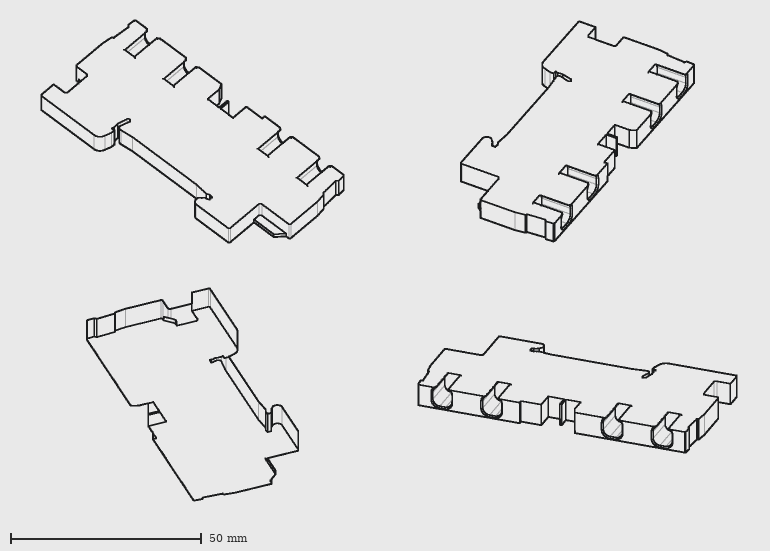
import cadquery as cq
import math

LENGTH = 77.0
WIDTH = 35.2
THICKNESS = 6.1

SHOULDER_Y = 13.4
RAIL_Y = 6.4
FOOT_TOP_Y = 5.0
RIGHT_FOOT_Y = 1.55
OPENING_FLOOR_Y = 29.1
STEP_Y = 34.2

NECK_LEFT_X = 4.5
NECK_RIGHT_X = 66.4
OPENING_LEFT_X = 32.7
OPENING_RIGHT_X = 41.8
STEP_END_X = 47.5
BEVEL_X = 0.8
BEVEL_Y = 1.8

CORNER_RADIUS = 0.4
NOTCH_RADIUS = 0.6

END_PROFILE = [
    (0.0, 23.9),
    (0.4, 26.8),
    (0.6, 27.0),
    (0.85, 27.0),
    (1.2, 32.35),
    (0.7, 32.8),
    (0.85, 34.95),
    (1.1, WIDTH),
]

PIN_X = 37.1
PIN_WIDTH = 0.55
PIN_TIP_Y = 32.2

HOLE_CENTER_X = 38.4
HOLE_OFFSETS = (-30.95, -16.95, 16.95, 30.95)
HOLE_DEPTH_Y = 9.1
HOLE_FLOOR_Z = 0.6
HOLE_FLAT = 1.7
HOLE_CORNER_RADIUS = 1.85
HOLE_SLIT_WIDTH = 3.4
MOUTH_LENGTH = 0.5
MOUTH_FLARE = 0.3

PLATE_THICKNESS = 1.2
TAB_Y = 11.0
TAB_OVERLAP = 0.8
LEFT_TAB_X = 1.1
RIGHT_TAB_X = 75.7
WEB_LEFT_X = 21.2
WEB_TOP_Y = 10.55
WEB_Y = 8.6


def body():
    """The whole outline, drawn clockwise from the left shoulder."""
    right_end = [(LENGTH - inset, y) for inset, y in reversed(END_PROFILE)]
    outline = cq.Workplane("XY").moveTo(0, SHOULDER_Y)
    for x, y in END_PROFILE:
        outline = outline.lineTo(x, y)
    outline = (
        outline
        .lineTo(OPENING_LEFT_X - BEVEL_X, WIDTH)
        .lineTo(OPENING_LEFT_X, WIDTH - BEVEL_Y)
        .lineTo(OPENING_LEFT_X, OPENING_FLOOR_Y)
        .lineTo(OPENING_RIGHT_X, OPENING_FLOOR_Y)
        .lineTo(OPENING_RIGHT_X, STEP_Y)
        .lineTo(STEP_END_X, STEP_Y)
        .lineTo(STEP_END_X, WIDTH)
    )
    for x, y in right_end:
        outline = outline.lineTo(x, y)
    outline = (
        outline
        .lineTo(LENGTH, SHOULDER_Y)
        .lineTo(NECK_RIGHT_X, SHOULDER_Y)
        .lineTo(NECK_RIGHT_X, RIGHT_FOOT_Y)
        .lineTo(54.4, RIGHT_FOOT_Y)
        .threePointArc((53.3, 2.8), (54.05, 4.15))
        .threePointArc((54.7, 4.7), (55.4, 4.85))
        .lineTo(55.9, 5.1)
        .lineTo(55.9, 6.15)
        .lineTo(54.8, 6.3)
        .lineTo(54.05, 5.9)
        .lineTo(50.05, RAIL_Y)
        .lineTo(27.0, RAIL_Y)
        .lineTo(23.1, 6.0)
        .threePointArc((22.4, 6.2), (22.25, 7.1))
        .lineTo(22.95, 9.5)
        .threePointArc((22.5, 10.2), (21.9, 9.6))
        .lineTo(21.2, 6.9)
        .lineTo(21.3, 5.55)
        .lineTo(21.1, 4.8)
        .lineTo(22.1, 4.8)
        .lineTo(22.0, 3.55)
        .lineTo(21.4, 1.7)
        .threePointArc((20.55, 0.5), (19.1, 0))
        .lineTo(0, 0)
        .lineTo(0, FOOT_TOP_Y)
        .lineTo(NECK_LEFT_X, FOOT_TOP_Y)
        .lineTo(NECK_LEFT_X, SHOULDER_Y)
        .close()
    )
    return outline.extrude(THICKNESS)


def round_edges(part, places, radius):
    """Round the upright edges that stand at the given (x, y) places."""
    reach = 0.04
    for x, y in places:
        corner = cq.selectors.BoxSelector(
            (x - reach, y - reach, 0),
            (x + reach, y + reach, THICKNESS),
        )
        part = part.edges(corner).fillet(radius)
    return part


def wire_hole(center_x):
    """A rounded tunnel whose crown breaks out through the upper face, with a flared mouth."""
    width = HOLE_FLAT + 2 * HOLE_CORNER_RADIUS
    run = (HOLE_SLIT_WIDTH - HOLE_FLAT) / 2
    crown_rise = HOLE_CORNER_RADIUS - math.sqrt(HOLE_CORNER_RADIUS**2 - run**2)
    top_z = THICKNESS + crown_rise
    height = top_z - HOLE_FLOOR_Z
    center_z = (top_z + HOLE_FLOOR_Z) / 2

    def section(y, grow):
        return (
            cq.Workplane("XZ", origin=(center_x, y, center_z))
            .sketch()
            .rect(width + 2 * grow, height + 2 * grow)
            .vertices()
            .fillet(HOLE_CORNER_RADIUS + grow)
            .finalize()
        )

    hole = section(WIDTH, 0).extrude(HOLE_DEPTH_Y)
    slope = math.degrees(math.atan(MOUTH_FLARE / MOUTH_LENGTH))
    mouth = section(WIDTH, MOUTH_FLARE).extrude(MOUTH_LENGTH, taper=slope)
    return hole.union(mouth)


def plate(points):
    """A thin plate of the given outline, lying on the lower face."""
    return cq.Workplane("XY").polyline(points).close().extrude(PLATE_THICKNESS)


def left_tab():
    inner_x = NECK_LEFT_X + TAB_OVERLAP
    return plate([
        (LEFT_TAB_X, SHOULDER_Y),
        (3.1, 11.3),
        (3.55, TAB_Y),
        (inner_x, TAB_Y),
        (inner_x, SHOULDER_Y + TAB_OVERLAP),
        (LEFT_TAB_X, SHOULDER_Y + TAB_OVERLAP),
    ])


def right_tab():
    inner_x = NECK_RIGHT_X - TAB_OVERLAP
    return plate([
        (RIGHT_TAB_X, SHOULDER_Y),
        (73.5, TAB_Y),
        (inner_x, TAB_Y),
        (inner_x, SHOULDER_Y + TAB_OVERLAP),
        (RIGHT_TAB_X, SHOULDER_Y + TAB_OVERLAP),
    ])


def slot_web():
    """Thin floor that closes the blind tip of the spring slot."""
    return plate([
        (WEB_LEFT_X, WEB_Y),
        (22.95, WEB_Y),
        (23.5, WEB_TOP_Y),
        (WEB_LEFT_X, WEB_TOP_Y),
    ])


def pin():
    height = PIN_TIP_Y - OPENING_FLOOR_Y
    return (
        cq.Workplane("XY")
        .center(PIN_X, OPENING_FLOOR_Y + height / 2)
        .rect(PIN_WIDTH, height)
        .extrude(THICKNESS)
    )


outer_corners = [
    (0, SHOULDER_Y),
    (LENGTH, SHOULDER_Y),
    (0, 0),
    (NECK_RIGHT_X, RIGHT_FOOT_Y),
]
notch_corners = [
    (NECK_LEFT_X, SHOULDER_Y),
    (NECK_LEFT_X, FOOT_TOP_Y),
    (NECK_RIGHT_X, SHOULDER_Y),
]

result = body()
result = round_edges(result, outer_corners, CORNER_RADIUS)
result = round_edges(result, notch_corners, NOTCH_RADIUS)
for addition in (pin(), left_tab(), right_tab(), slot_web()):
    result = result.union(addition)
for offset in HOLE_OFFSETS:
    result = result.cut(wire_hole(HOLE_CENTER_X + offset))